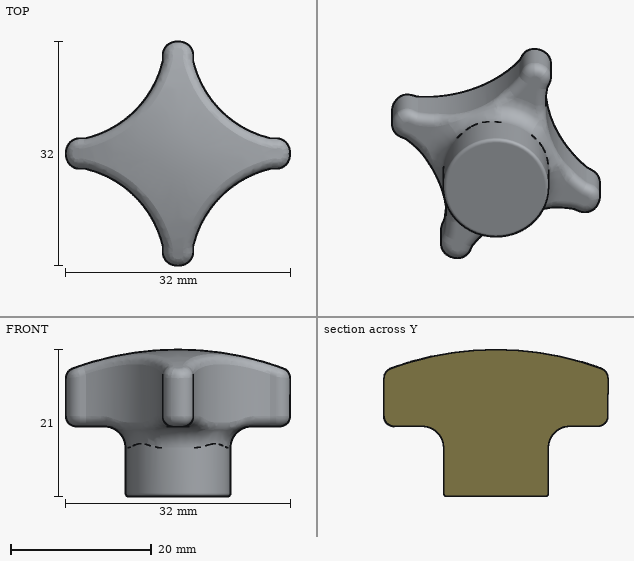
import cadquery as cq
import math

tip_radius = 16.0
total_height = 21.0
dome_radius = 43.0
head_base = 10.0

hub_radius = 15.0 / 2
hub_edge_radius = 0.5
hub_overlap = 3.0

arm_count = 4
arm_half_width = 2.2
arm_shoulder = 13.13
waist_radius = 8.65
tip_nose_radius = 2.5
tip_corner_radius = 2.0

edge_radius = 1.5
blend_radius = 3.0
blend_lift = 0.56

arm_pitch = 2 * math.pi / arm_count
blend_centre_radius = hub_radius + blend_radius
blend_base = head_base - blend_radius
path_intervals = 8
tolerance = 0.01


def polar(radius, angle):
    return (radius * math.cos(angle), radius * math.sin(angle))


def rotated(point, angle):
    x, y = point
    return polar(math.hypot(x, y), math.atan2(y, x) + angle)


def mirrored(point):
    return (point[0], -point[1])


def arc_end(centre, radius, angle):
    dx, dy = polar(radius, angle)
    return (centre[0] + dx, centre[1] + dy)


def flank_start_angle():
    """Polar angle at which the scooped flank crosses the outer rim of the blend."""
    half_pitch = arm_pitch / 2
    along, across = rotated((arm_shoulder, arm_half_width), -half_pitch)
    run = along - waist_radius
    flank_radius = (run**2 + across**2) / (2 * run)
    flank_centre = waist_radius + flank_radius
    cosine = (blend_centre_radius**2 + flank_centre**2 - flank_radius**2) / (
        2 * blend_centre_radius * flank_centre
    )
    return half_pitch - math.acos(cosine)


def star_prism(bottom, top):
    nose_centre = (tip_radius - tip_nose_radius, 0)
    corner_offset = arm_half_width - tip_corner_radius
    nose_angle = math.asin(corner_offset / (tip_nose_radius - tip_corner_radius))
    corner_centre = arc_end(nose_centre, tip_nose_radius - tip_corner_radius, nose_angle)

    nose_end = arc_end(nose_centre, tip_nose_radius, nose_angle)
    corner_middle = arc_end(corner_centre, tip_corner_radius, (nose_angle + math.pi / 2) / 2)
    corner_end = arc_end(corner_centre, tip_corner_radius, math.pi / 2)
    shoulder = (arm_shoulder, arm_half_width)

    outline = cq.Workplane("XY").workplane(offset=bottom).moveTo(*mirrored(shoulder))
    for index in range(arm_count):
        turn = index * arm_pitch
        outline = outline.lineTo(*rotated(mirrored(corner_end), turn))
        outline = outline.threePointArc(
            rotated(mirrored(corner_middle), turn), rotated(mirrored(nose_end), turn)
        )
        outline = outline.threePointArc(polar(tip_radius, turn), rotated(nose_end, turn))
        outline = outline.threePointArc(rotated(corner_middle, turn), rotated(corner_end, turn))
        outline = outline.lineTo(*rotated(shoulder, turn))
        outline = outline.threePointArc(
            polar(waist_radius, turn + arm_pitch / 2),
            rotated(mirrored(shoulder), turn + arm_pitch),
        )
    return outline.close().extrude(top - bottom)


def head():
    crown = cq.Workplane("XY").sphere(dome_radius).translate((0, 0, total_height - dome_radius))
    blank = star_prism(head_base, total_height).intersect(crown)
    return blank.faces(">Z").edges().fillet(edge_radius)


def hub():
    post = cq.Workplane("XY").circle(hub_radius).extrude(head_base + hub_overlap)
    return post.faces("<Z").edges().fillet(hub_edge_radius)


def blend_profile():
    """Radial section of the blend, standing in the XZ plane."""
    inner = hub_radius / 2
    diagonal = blend_radius * math.sqrt(0.5)
    return (
        cq.Workplane("XZ")
        .moveTo(inner, blend_base)
        .lineTo(hub_radius, blend_base)
        .threePointArc(
            (blend_centre_radius - diagonal, blend_base + diagonal),
            (blend_centre_radius, head_base),
        )
        .lineTo(inner, head_base)
        .close()
    )


def arm_blend(start_angle):
    """Plain revolved stretch of the blend below one arm, starting on the XZ plane."""
    return blend_profile().revolve(math.degrees(2 * start_angle), (0, 0, 0), (0, 1, 0))


def flank_blend(start_angle):
    """Stretch of the blend along one scooped flank, rising and falling again."""
    span = arm_pitch - 2 * start_angle
    path_points = []
    for index in range(path_intervals + 1):
        fraction = index / path_intervals
        x, y = polar(blend_centre_radius, fraction * span)
        rise = blend_lift * math.sin(math.pi * fraction) ** 2
        path_points.append((x, y, blend_base + rise))
    end_tangents = [(0, 1, 0), (*polar(1, span + math.pi / 2), 0)]
    path = cq.Workplane("XY").spline(path_points, tangents=end_tangents)
    upright_guide = path.translate((0, 0, blend_radius))
    return blend_profile().sweep(path, auxSpine=upright_guide)


def turned(body, angle):
    return body.rotate((0, 0, 0), (0, 0, 1), math.degrees(angle))


def hub_blend():
    """Ring of blend stretches, trimmed to the star outline of the head."""
    start_angle = flank_start_angle()
    below_arm = arm_blend(start_angle).val()
    below_flank = flank_blend(start_angle).val()
    ring = cq.Workplane("XY")
    for index in range(arm_count):
        turn = index * arm_pitch
        ring = ring.add(turned(below_arm, turn - start_angle))
        ring = ring.add(turned(below_flank, turn + start_angle))
    return ring.combine().intersect(star_prism(blend_base, head_base))


def is_side_wall(face):
    """True for the upright faces around the outside of the head."""
    is_upright = abs(face.normalAt().z) < tolerance
    return is_upright and face.BoundingBox().zmax > head_base + edge_radius


def round_lower_edges(body):
    lower_edges = []
    for face in body.faces().vals():
        if is_side_wall(face):
            for edge in face.Edges():
                if edge.BoundingBox().zmax < head_base + tolerance:
                    lower_edges.append(edge)
    return body.newObject(lower_edges).fillet(edge_radius)


blended_head = round_lower_edges(head().union(hub_blend()))
result = blended_head.union(hub())